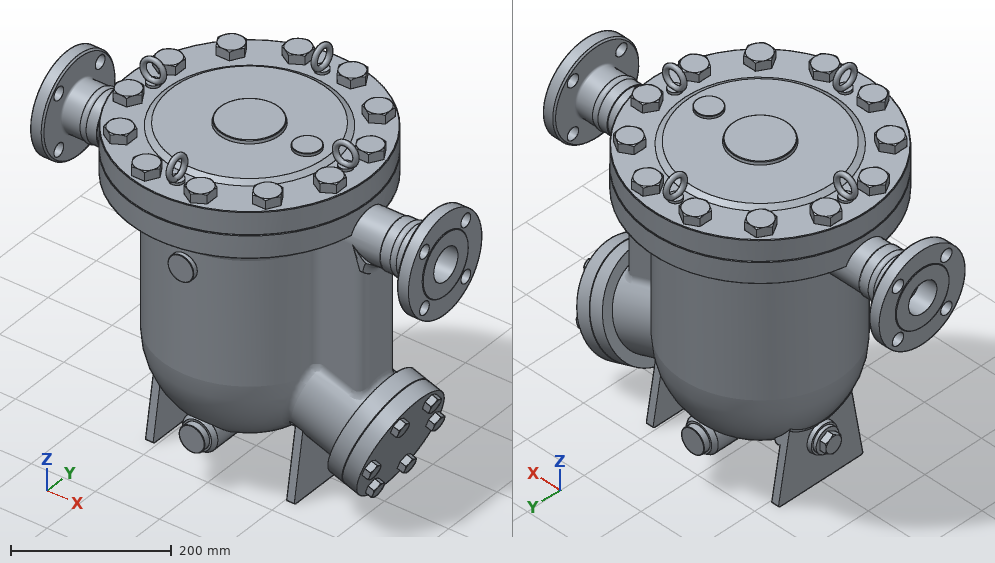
import cadquery as cq
import math


BODY_R = 136.0
DOME_CENTER_Z = -220.0
CONE_TOP_R = 148.0
BODY_START_ANGLE = 135.0
CONE_BOTTOM_Z = -29.0
FLANGE_R = 375.0 / 2
FLANGE_BOTTOM_Z = 10.0
FLANGE_SEAM_Z = 46.5
FLANGE_EDGE_CHAMFER = 1.0
FLANGE_BOTTOM_CHAMFER = 2.0

COVER_TOP_Z = 82.0
COVER_PAD_HEIGHT = 5.0
COVER_PAD_BASE_R = 131.0
COVER_PAD_TOP_R = 122.0
COVER_PAD_TOP_Z = COVER_TOP_Z + COVER_PAD_HEIGHT
HUB_BASE_R = 47.0
HUB_TOP_R = 45.0
HUB_HEIGHT = 5.0
HUB_EDGE_CHAMFER = 1.0
COVER_BOSS_X = 90.0

COVER_BOLT_COUNT = 12
COVER_BOLT_CIRCLE_R = 162.5
COVER_BOLT_FIRST_ANGLE = 15.0
COVER_BOLT_FLATS = 36.0
COVER_BOLT_HEAD_HEIGHT = 14.5
EYE_COUNT = 4
EYE_CIRCLE_R = 150.0
EYE_OUTER_R = 20.0
EYE_WIRE_R = 4.0
EYE_TOP_Z = 122.45
EYE_COLLAR_R = 10.0
EYE_COLLAR_HEIGHT = 4.0

PLUG_R = 40.0 / 2
PLUG_CHAMFER = (40.0 - 38.67) / 2
COVER_BOSS_HEIGHT = 4.5
GAUGE_Z = -55.5
GAUGE_END_Y = -142.5
GAUGE_ROOT_Y = -BODY_R / 2

INLET_FACE_X = -285.0
OUTLET_FACE_X = 306.0
PIPE_R = 72.0 / 2
PIPE_INNER_END_X = 60.0
SLEEVE_R = 75.0 / 2
SLEEVE_END = 74.5
SLEEVE_BLEND = 3.0
BEAD_START = 49.0
BEAD_END = 58.5
BEAD_HEIGHT = 1.5
CONNECTION_FLANGE_R = 152.0 / 2
CONNECTION_FLANGE_BACK = 20.0
CONNECTION_FLANGE_CHAMFER = 2.5
RAISED_FACE_R = 95.0 / 2
RAISED_FACE_HEIGHT = 1.0
BORE_R = 50.0 / 2
BORE_DEPTH = 30.0
CONNECTION_HOLE_COUNT = 4
CONNECTION_HOLE_R = 20.0 / 2
CONNECTION_HOLE_FIRST_ANGLE = 45.0
CONNECTION_BOLT_CIRCLE_R = 121.0 / 2

DUCT_OUTER_X = 204.0
DUCT_HALF_WIDTH = PIPE_R
DUCT_ROUND = 16.0
DUCT_BOTTOM_Z = -262.0
DUCT_FLARE = 14.0
DUCT_FLARE_TIP_Z = -31.0

PORT_TILT = 20.0
PORT_ORIGIN_Z = -216.0
PORT_NECK_START = 60.0
PORT_NECK_R = 66.0
PORT_FLANGE_START = 202.5
PORT_FLANGE_THICKNESS = 24.0
PORT_FLANGE_R = 165.0 / 2
PORT_SEAM_CHAMFER = 0.5
PORT_BLEND = 12.0
SEAM_SAMPLES = (0.2, 0.5, 0.8)
SEAM_TOLERANCE = 0.001
PORT_BOLT_COUNT = 6
PORT_BOLT_CIRCLE_R = 66.0
PORT_BOLT_FLATS = 22.0
PORT_BOLT_HEAD_HEIGHT = 10.5

DRAIN_R = 55.0 / 2
DRAIN_LIFT = 0.5
DRAIN_Z = DOME_CENTER_Z - BODY_R + DRAIN_R + DRAIN_LIFT
SIDE_DRAIN_LENGTH = 102.0
SIDE_DRAIN_CONE_END = 109.0
DRAIN_RIM_R = 23.0
SIDE_DRAIN_END = 119.5
HEX_DRAIN_LENGTH = 92.0
HEX_DRAIN_CONE_END = 106.0
HEX_DRAIN_CONE_R = 24.0
HEX_DRAIN_COLLAR_START = 112.5
HEX_DRAIN_COLLAR_END = 118.0
HEX_DRAIN_END = 129.0
HEX_DRAIN_FLATS = 27.0

LEG_BOTTOM_Z = -400.0
LEG_TOP_Z = -270.0
LEG_BOTTOM_WIDTH = 150.0
LEG_SIDE_ANGLE = 10.0
LEG_THICKNESS = 12.0
LEG_CENTERS_X = (-100.0, 120.0)
LEG_CORNER_ROUND = 3.0
LEG_BLEND = 6.0
LEG_BLEND_REACH = 68.0


def revolve_about_z(points):
    """Solid of revolution about Z from an (r, z) outline."""
    return cq.Workplane("XZ").polyline(points).close().revolve(360, (0, 0, 0), (0, 1, 0))


def plug(height):
    """Round plug standing on Z = 0 with a chamfered top edge."""
    return cq.Workplane("XY").circle(PLUG_R).extrude(height).faces(">Z").chamfer(PLUG_CHAMFER)


def hex_head(flats, height):
    """Hexagon head on Z = 0, corners on X, top corners bevelled down to the flats."""
    corner_r = flats / 2 / math.cos(math.radians(30))
    bevel = (corner_r - flats / 2) * math.tan(math.radians(30))
    head = cq.Workplane("XY").polygon(6, 2 * corner_r).extrude(height)
    envelope = revolve_about_z([
        (0, 0),
        (corner_r, 0),
        (corner_r, height - bevel),
        (flats / 2, height),
        (0, height),
    ])
    return head.intersect(envelope)


def make_body():
    outline = (
        cq.Workplane("XZ")
        .moveTo(0, DOME_CENTER_Z - BODY_R)
        .radiusArc((BODY_R, DOME_CENTER_Z), -BODY_R)
        .lineTo(BODY_R, CONE_BOTTOM_Z)
        .lineTo(CONE_TOP_R, FLANGE_BOTTOM_Z)
        .lineTo(FLANGE_R - FLANGE_BOTTOM_CHAMFER, FLANGE_BOTTOM_Z)
        .lineTo(FLANGE_R, FLANGE_BOTTOM_Z + FLANGE_BOTTOM_CHAMFER)
        .lineTo(FLANGE_R, FLANGE_SEAM_Z - FLANGE_EDGE_CHAMFER)
        .lineTo(FLANGE_R - FLANGE_EDGE_CHAMFER, FLANGE_SEAM_Z)
        .lineTo(0, FLANGE_SEAM_Z)
        .close()
    )
    body = outline.revolve(360, (0, 0, 0), (0, 1, 0))
    return body.rotate((0, 0, 0), (0, 0, 1), BODY_START_ANGLE)


def make_cover():
    hub_top_z = COVER_PAD_TOP_Z + HUB_HEIGHT
    cover = revolve_about_z([
        (0, FLANGE_SEAM_Z),
        (FLANGE_R - FLANGE_EDGE_CHAMFER, FLANGE_SEAM_Z),
        (FLANGE_R, FLANGE_SEAM_Z + FLANGE_EDGE_CHAMFER),
        (FLANGE_R, COVER_TOP_Z - FLANGE_EDGE_CHAMFER),
        (FLANGE_R - FLANGE_EDGE_CHAMFER, COVER_TOP_Z),
        (COVER_PAD_BASE_R, COVER_TOP_Z),
        (COVER_PAD_TOP_R, COVER_PAD_TOP_Z),
        (HUB_BASE_R, COVER_PAD_TOP_Z),
        (HUB_TOP_R + HUB_EDGE_CHAMFER, hub_top_z - HUB_EDGE_CHAMFER),
        (HUB_TOP_R, hub_top_z),
        (0, hub_top_z),
    ])
    return cover.union(plug(COVER_BOSS_HEIGHT).translate((COVER_BOSS_X, 0, COVER_PAD_TOP_Z)))


def make_cover_bolts():
    head = hex_head(COVER_BOLT_FLATS, COVER_BOLT_HEAD_HEIGHT)
    head = head.translate((COVER_BOLT_CIRCLE_R, 0, COVER_TOP_Z))
    head = head.rotate(
        (COVER_BOLT_CIRCLE_R, 0, 0), (COVER_BOLT_CIRCLE_R, 0, 1), -COVER_BOLT_FIRST_ANGLE
    )
    bolts = cq.Workplane("XY")
    for index in range(COVER_BOLT_COUNT):
        angle = COVER_BOLT_FIRST_ANGLE + index * 360 / COVER_BOLT_COUNT
        bolts = bolts.add(head.rotate((0, 0, 0), (0, 0, 1), angle))
    return bolts


def make_eye_bolts():
    wire_center_r = EYE_OUTER_R - EYE_WIRE_R
    ring = cq.Solid.makeTorus(
        wire_center_r,
        EYE_WIRE_R,
        cq.Vector(EYE_CIRCLE_R, 0, EYE_TOP_Z - EYE_OUTER_R),
        cq.Vector(0, 1, 0),
    )
    collar = cq.Workplane("XY").circle(EYE_COLLAR_R).extrude(EYE_COLLAR_HEIGHT)
    eye = collar.translate((EYE_CIRCLE_R, 0, COVER_TOP_Z)).union(cq.Workplane(ring))
    eyes = cq.Workplane("XY")
    for index in range(EYE_COUNT):
        eyes = eyes.add(eye.rotate((0, 0, 0), (0, 0, 1), index * 360 / EYE_COUNT))
    return eyes


def make_gauge_boss():
    """Round boss on the front of the body, rooted inside it."""
    boss = plug(GAUGE_ROOT_Y - GAUGE_END_Y)
    return boss.rotate((0, 0, 0), (1, 0, 0), 90).translate((0, GAUGE_ROOT_Y, GAUGE_Z))


def connection_outline(length):
    """Half section of a pipe connection, from its face (Z = 0) to its inner end."""
    flange_edge = CONNECTION_FLANGE_R - CONNECTION_FLANGE_CHAMFER
    bead_middle = (BEAD_START + BEAD_END) / 2
    return (
        cq.Workplane("XZ")
        .moveTo(0, 0)
        .lineTo(RAISED_FACE_R - RAISED_FACE_HEIGHT, 0)
        .lineTo(RAISED_FACE_R, RAISED_FACE_HEIGHT)
        .lineTo(CONNECTION_FLANGE_R, RAISED_FACE_HEIGHT)
        .lineTo(CONNECTION_FLANGE_R, CONNECTION_FLANGE_BACK - CONNECTION_FLANGE_CHAMFER)
        .lineTo(flange_edge, CONNECTION_FLANGE_BACK)
        .lineTo(SLEEVE_R + SLEEVE_BLEND, CONNECTION_FLANGE_BACK)
        .radiusArc((SLEEVE_R, CONNECTION_FLANGE_BACK + SLEEVE_BLEND), SLEEVE_BLEND)
        .lineTo(SLEEVE_R, BEAD_START)
        .threePointArc((SLEEVE_R + BEAD_HEIGHT, bead_middle), (SLEEVE_R, BEAD_END))
        .lineTo(SLEEVE_R, SLEEVE_END)
        .lineTo(PIPE_R, SLEEVE_END)
        .lineTo(PIPE_R, length)
        .lineTo(0, length)
        .close()
    )


def make_connection(length):
    """Flanged pipe along +Z with its face at Z = 0."""
    pipe = connection_outline(length).revolve(360, (0, 0, 0), (0, 1, 0))
    bore = cq.Workplane("XY").circle(BORE_R).extrude(BORE_DEPTH)
    holes = (
        cq.Workplane("XY")
        .polarArray(CONNECTION_BOLT_CIRCLE_R, CONNECTION_HOLE_FIRST_ANGLE, 360, CONNECTION_HOLE_COUNT)
        .circle(CONNECTION_HOLE_R)
        .extrude(CONNECTION_FLANGE_BACK)
    )
    return pipe.cut(bore).cut(holes)


def make_inlet():
    pipe = make_connection(-INLET_FACE_X - PIPE_INNER_END_X)
    return pipe.rotate((0, 0, 0), (0, 1, 0), 90).translate((INLET_FACE_X, 0, 0))


def make_outlet():
    pipe = make_connection(OUTLET_FACE_X - PIPE_INNER_END_X)
    return pipe.rotate((0, 0, 0), (0, 1, 0), -90).translate((OUTLET_FACE_X, 0, 0))


def make_duct(outer_x):
    """Vertical duct with rounded outer corners and hollow blends onto the body cylinder."""
    blend_center_y = DUCT_HALF_WIDTH + DUCT_ROUND
    center_distance = BODY_R + DUCT_ROUND
    blend_center_x = math.sqrt(center_distance**2 - blend_center_y**2)
    touch_x = blend_center_x * BODY_R / center_distance
    touch_y = blend_center_y * BODY_R / center_distance
    round_x = outer_x - DUCT_ROUND
    round_y = DUCT_HALF_WIDTH - DUCT_ROUND
    outline = (
        cq.Workplane("XY")
        .moveTo(0, -touch_y)
        .lineTo(touch_x, -touch_y)
        .radiusArc((blend_center_x, -DUCT_HALF_WIDTH), DUCT_ROUND)
        .lineTo(round_x, -DUCT_HALF_WIDTH)
        .radiusArc((outer_x, -round_y), -DUCT_ROUND)
        .lineTo(outer_x, round_y)
        .radiusArc((round_x, DUCT_HALF_WIDTH), -DUCT_ROUND)
        .lineTo(blend_center_x, DUCT_HALF_WIDTH)
        .radiusArc((touch_x, touch_y), DUCT_ROUND)
        .lineTo(0, touch_y)
        .close()
    )
    return outline.extrude(DUCT_BOTTOM_Z)


def make_duct_flare():
    """Hollow blend between the outer face of the duct and the underside of the outlet pipe."""
    rim_r = PIPE_R + DUCT_FLARE
    flare_end_x = DUCT_OUTER_X + DUCT_FLARE
    flare = (
        cq.Workplane("XZ")
        .moveTo(BODY_R, 0)
        .lineTo(BODY_R, rim_r)
        .lineTo(DUCT_OUTER_X, rim_r)
        .radiusArc((flare_end_x, PIPE_R), -DUCT_FLARE)
        .lineTo(flare_end_x, 0)
        .close()
        .revolve(360, (0, 0, 0), (1, 0, 0))
    )
    side_limits = (
        cq.Workplane("XZ")
        .polyline([
            (DUCT_OUTER_X - DUCT_ROUND, 0),
            (DUCT_OUTER_X, -rim_r),
            (flare_end_x, -rim_r),
            (flare_end_x, DUCT_FLARE_TIP_Z),
        ])
        .close()
        .extrude(DUCT_HALF_WIDTH, both=True)
    )
    return flare.intersect(make_duct(flare_end_x)).intersect(side_limits)


def tilt_onto_port_axis(solid):
    """Carry a solid built along +Z onto the inclined port axis."""
    return solid.rotate((0, 0, 0), (0, 1, 0), 90 + PORT_TILT).translate((0, 0, PORT_ORIGIN_Z))


def make_port_neck():
    length = PORT_FLANGE_START + PORT_FLANGE_THICKNESS / 2 - PORT_NECK_START
    neck = cq.Workplane("XY", origin=(0, 0, PORT_NECK_START)).circle(PORT_NECK_R).extrude(length)
    return tilt_onto_port_axis(neck)


def make_port_flanges():
    disc = cq.Workplane("XY").circle(PORT_FLANGE_R).extrude(PORT_FLANGE_THICKNESS)
    seam_z = PORT_FLANGE_START + PORT_FLANGE_THICKNESS
    end_z = seam_z + PORT_FLANGE_THICKNESS
    flanges = disc.faces(">Z").chamfer(PORT_SEAM_CHAMFER).translate((0, 0, PORT_FLANGE_START))
    flanges = flanges.union(disc.faces("<Z").chamfer(PORT_SEAM_CHAMFER).translate((0, 0, seam_z)))
    head = hex_head(PORT_BOLT_FLATS, PORT_BOLT_HEAD_HEIGHT)
    head = head.translate((0, PORT_BOLT_CIRCLE_R, end_z))
    for index in range(PORT_BOLT_COUNT):
        angle = index * 360 / PORT_BOLT_COUNT
        flanges = flanges.union(head.rotate((0, 0, 0), (0, 0, 1), angle))
    return tilt_onto_port_axis(flanges)


def make_side_drains():
    """Drain pipe across the dome along Y with a round plug in each end."""
    half = revolve_about_z([
        (0, 0),
        (DRAIN_R, 0),
        (DRAIN_R, SIDE_DRAIN_LENGTH),
        (DRAIN_RIM_R, SIDE_DRAIN_CONE_END),
        (0, SIDE_DRAIN_CONE_END),
    ])
    end_plug = plug(SIDE_DRAIN_END - SIDE_DRAIN_CONE_END)
    half = half.union(end_plug.translate((0, 0, SIDE_DRAIN_CONE_END)))
    front = half.rotate((0, 0, 0), (1, 0, 0), 90)
    back = half.rotate((0, 0, 0), (1, 0, 0), -90)
    return front.union(back).translate((0, 0, DRAIN_Z))


def make_hex_drain():
    """Drain pipe through the inlet-side leg, closed by a hexagon plug."""
    drain = revolve_about_z([
        (0, 0),
        (DRAIN_R, 0),
        (DRAIN_R, HEX_DRAIN_LENGTH),
        (HEX_DRAIN_CONE_R, HEX_DRAIN_CONE_END),
        (DRAIN_RIM_R, HEX_DRAIN_COLLAR_START),
        (PLUG_R, HEX_DRAIN_COLLAR_START),
        (PLUG_R, HEX_DRAIN_COLLAR_END),
        (0, HEX_DRAIN_COLLAR_END),
    ])
    head = hex_head(HEX_DRAIN_FLATS, HEX_DRAIN_END - HEX_DRAIN_COLLAR_END)
    drain = drain.union(head.translate((0, 0, HEX_DRAIN_COLLAR_END)))
    return drain.rotate((0, 0, 0), (0, 1, 0), -90).translate((0, 0, DRAIN_Z))


def leg_plate_with_blends(center_x):
    """Plate turned about the X line through the dome center, blended onto the dome."""
    blend_center_distance = BODY_R + LEG_BLEND
    low_x = center_x - LEG_THICKNESS / 2
    high_x = center_x + LEG_THICKNESS / 2
    low_blend_r = math.sqrt(blend_center_distance**2 - (low_x - LEG_BLEND) ** 2)
    high_blend_r = math.sqrt(blend_center_distance**2 - (high_x + LEG_BLEND) ** 2)
    to_dome = BODY_R / blend_center_distance
    plate_r = DOME_CENTER_Z - LEG_BOTTOM_Z + LEG_BOTTOM_WIDTH
    plate = (
        cq.Workplane("XZ")
        .moveTo((low_x - LEG_BLEND) * to_dome, low_blend_r * to_dome)
        .radiusArc((low_x, low_blend_r), LEG_BLEND)
        .lineTo(low_x, plate_r)
        .lineTo(high_x, plate_r)
        .lineTo(high_x, high_blend_r)
        .radiusArc(((high_x + LEG_BLEND) * to_dome, high_blend_r * to_dome), LEG_BLEND)
        .close()
        .revolve(360, (0, 0, 0), (1, 0, 0))
    )
    return plate.translate((0, 0, DOME_CENTER_Z))


def make_leg(center_x):
    bottom_half = LEG_BOTTOM_WIDTH / 2
    top_half = bottom_half - (LEG_TOP_Z - LEG_BOTTOM_Z) * math.tan(math.radians(LEG_SIDE_ANGLE))
    trapezoid = (
        cq.Workplane("YZ", origin=(center_x, 0, 0))
        .polyline([
            (-bottom_half, LEG_BOTTOM_Z),
            (bottom_half, LEG_BOTTOM_Z),
            (top_half, LEG_TOP_Z),
            (-top_half, LEG_TOP_Z),
        ])
        .close()
        .extrude(LEG_BLEND_REACH, both=True)
        .edges("|X and <Z")
        .fillet(LEG_CORNER_ROUND)
    )
    return trapezoid.intersect(leg_plate_with_blends(center_x))


def neck_seam_edges(casting):
    """Edges where the port neck meets the rest of the casting."""
    axis = cq.Vector(math.cos(math.radians(PORT_TILT)), 0, -math.sin(math.radians(PORT_TILT)))
    origin = cq.Vector(0, 0, PORT_ORIGIN_Z)
    seam = []
    for edge in casting.edges().vals():
        offsets = [edge.positionAt(t) - origin for t in SEAM_SAMPLES]
        on_neck = all(abs(offset.cross(axis).Length - PORT_NECK_R) < SEAM_TOLERANCE for offset in offsets)
        below_flange = offsets[0].dot(axis) < PORT_FLANGE_START
        if on_neck and below_flange:
            seam.append(edge)
    return seam


def make_casting():
    """Body, duct and port neck with the neck blended in."""
    casting = make_body().union(make_duct(DUCT_OUTER_X)).union(make_port_neck())
    return casting.newObject(neck_seam_edges(casting)).fillet(PORT_BLEND)


result = make_casting()
result = result.union(make_side_drains().union(make_hex_drain()))
result = result.union(make_duct_flare())
result = result.union(make_inlet()).union(make_outlet())
for leg_x in LEG_CENTERS_X:
    result = result.union(make_leg(leg_x))
result = result.union(make_gauge_boss()).union(make_port_flanges())
result = result.union(make_cover())
for fastener in make_cover_bolts().vals() + make_eye_bolts().vals():
    result = result.union(cq.Workplane(fastener))